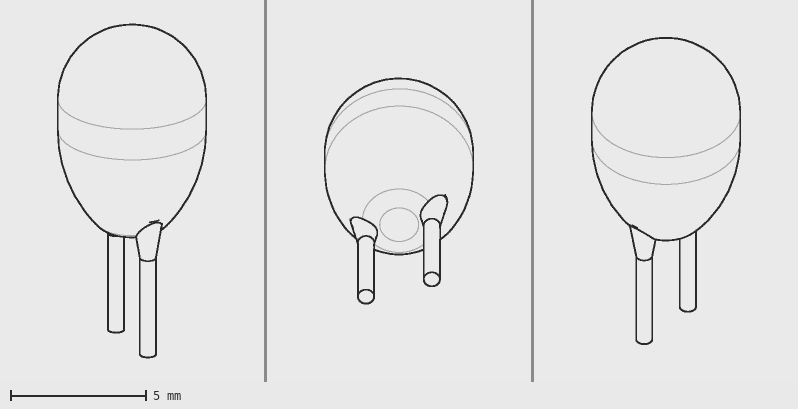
import cadquery as cq
import math

total_height = 12.6
bulb_radius = 2.753
band_height = 1.25
taper_radius = 5.58
bulb_bottom_z = 4.62
bottom_fillet = 0.86
lead_offset = 1.27
lead_radius = 0.3
sleeve_bottom_z = 3.9
sleeve_top_z = 5.61
sleeve_top_radius = 0.58

band_top_z = total_height - bulb_radius
band_bottom_z = band_top_z - band_height


def point_on_arc(center, radius, angle):
    """Point at an angle measured in radians from the +X direction."""
    return (center[0] + radius * math.cos(angle), center[1] + radius * math.sin(angle))


def make_bulb_blank():
    """Revolve the bulb profile: flat bottom, fillet, taper, band and dome."""
    taper_center = (bulb_radius - taper_radius, band_bottom_z)
    fillet_center_z = bulb_bottom_z + bottom_fillet
    center_angle = math.asin((fillet_center_z - band_bottom_z) / (taper_radius - bottom_fillet))
    fillet_center = point_on_arc(taper_center, taper_radius - bottom_fillet, center_angle)
    fillet_mid_angle = (center_angle - math.pi / 2) / 2
    taper_end = point_on_arc(taper_center, taper_radius, center_angle)
    taper_mid = point_on_arc(taper_center, taper_radius, center_angle / 2)
    dome_mid = point_on_arc((0, band_top_z), bulb_radius, math.pi / 4)
    return (
        cq.Workplane("XZ")
        .moveTo(0, bulb_bottom_z)
        .lineTo(fillet_center[0], bulb_bottom_z)
        .threePointArc(point_on_arc(fillet_center, bottom_fillet, fillet_mid_angle), taper_end)
        .threePointArc(taper_mid, (bulb_radius, band_bottom_z))
        .lineTo(bulb_radius, band_top_z)
        .threePointArc(dome_mid, (0, total_height))
        .close()
        .revolve(360, (0, 0), (0, 1))
    )


def make_sleeve(x):
    """Conical sleeve that widens upward from a lead into the bulb."""
    cone = cq.Solid.makeCone(
        lead_radius, sleeve_top_radius, sleeve_top_z - sleeve_bottom_z, cq.Vector(x, 0, sleeve_bottom_z)
    )
    return cq.Workplane(cone)


def make_lead(x):
    """Round wire ending against the small end of its sleeve."""
    return cq.Workplane("XY").center(x, 0).circle(lead_radius).extrude(sleeve_bottom_z)


bulb = make_bulb_blank()
sleeves = []
leads = []
for lead_x in (-lead_offset, lead_offset):
    sleeve = make_sleeve(lead_x)
    bulb = bulb.cut(sleeve)
    sleeves.append(sleeve.val())
    leads.append(make_lead(lead_x).val())

result = cq.Compound.makeCompound([*bulb.vals(), *sleeves, *leads])